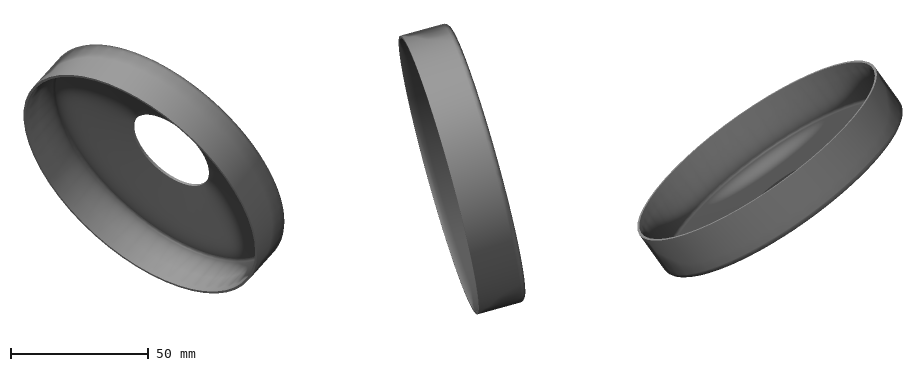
import cadquery as cq

outer_radius = 52.5
hole_radius = 17.1
total_depth = 19.7
shoulder_depth = 18.0
sheet = 0.9
outer_fillet = 2.0
inner_fillet = outer_fillet - sheet

inner_radius = outer_radius - sheet
cone_slope = (total_depth - shoulder_depth) / (outer_radius - hole_radius)
inner_shoulder = shoulder_depth + cone_slope * sheet - sheet
inner_top = total_depth - sheet


def revolved_cone_cup(radius, shoulder, top, fillet):
    """Solid cup shape about Y: a cylinder capped by a shallow cone with a rounded shoulder."""
    profile = (
        cq.Workplane("XY")
        .moveTo(0, 0)
        .lineTo(radius, 0)
        .lineTo(radius, shoulder)
        .lineTo(hole_radius, top)
        .lineTo(0, top)
        .close()
    )
    body = profile.revolve(360, (0, 0, 0), (0, 1, 0))
    shoulder_edge = cq.selectors.BoxSelector(
        (-2 * radius, shoulder - sheet / 2, -2 * radius),
        (2 * radius, shoulder + sheet / 2, 2 * radius),
        boundingbox=True,
    )
    return body.edges(shoulder_edge).fillet(fillet)


outer_body = revolved_cone_cup(outer_radius, shoulder_depth, total_depth, outer_fillet)
cavity = revolved_cone_cup(inner_radius, inner_shoulder, inner_top, inner_fillet)
cover = outer_body.cut(cavity)

hole = cq.Workplane("XZ").circle(hole_radius).extrude(-total_depth)
result = cover.cut(hole)